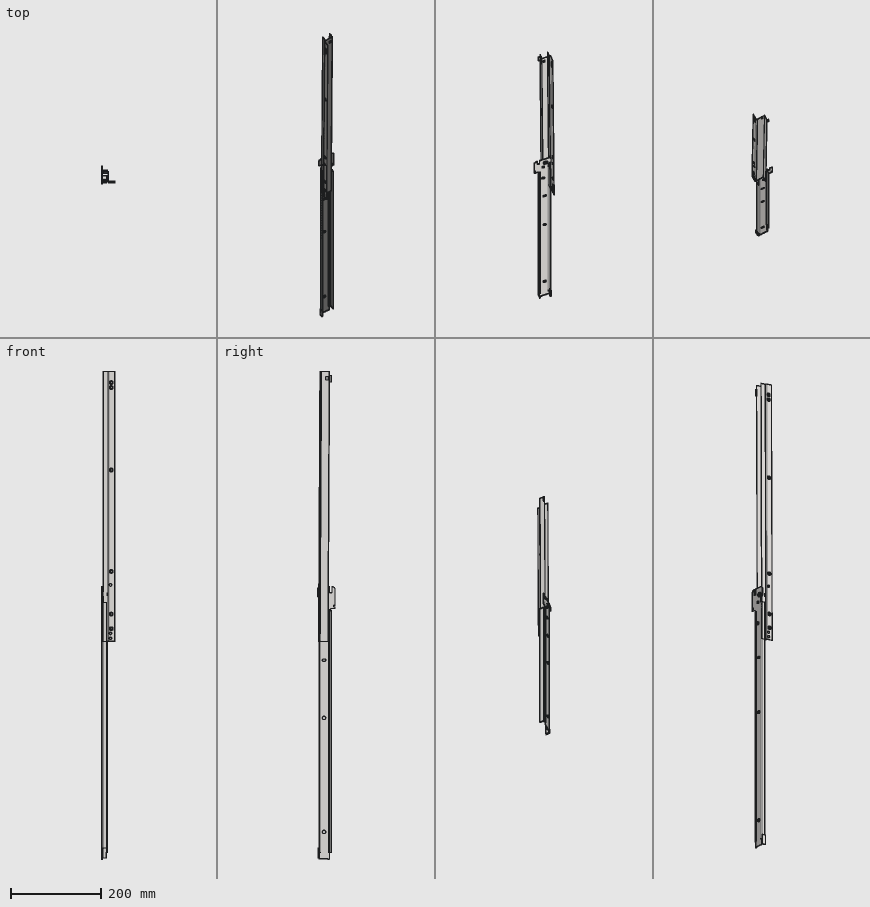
import cadquery as cq

size_x = 28.85
size_y = 39.5
size_z = 1083.32
left = -size_x / 2
right = size_x / 2
top = size_z / 2
bottom = -size_z / 2

cabinet_sheet = 1.0
cabinet_bend = 2.0
cabinet_bottom = -57.0
cabinet_length = top - cabinet_bottom
lean = 3.1
channel_left = -11.4
web_left = -0.4
channel_top = 7.5
channel_foot = -11.3
flange_face = -14.2
flange_hole_x = 6.6
flange_hole = 4.5
flange_sink = 8.5
flange_hole_heights = (517.0, 506.0, 323.0, 98.0, 3.3, -29.0)
small_hole_x = 5.0
small_hole = 5.0
small_hole_heights = (68.0, -39.5, -50.0)
stop_height = 4.0
stop_low = 518.0
stop_length = 15.0
stop_thickness = 2.0
window_y = 1.4
window_z = 526.5
window_width = 4.0
window_length = 7.0

sheet = 1.5
bend = 3.5
drawer_top = 64.5
head_right = -1.6
foot_right = -4.2
drawer_head = 11.5
drawer_foot = -16.0
foot_top = 29.0
jog_start = 5.0
jog_end = 7.5
jog_depth = 2.4
flange_bottom = -526.0
web_bottom = -540.0
tongue_y = 4.9
tongue_width = 3.0
hook_low = -538.0
hook_high = -516.0
hook_reach = 1.8
hook_left = -12.0
drawer_hole = 7.0
drawer_holes = ((-1.6, -18.0), (-4.9, -227.0), (-4.9, -480.0))
drawer_slot_y = -4.9
drawer_slot_z = -99.0
drawer_slot_length = 8.0
drawer_slot_width = 4.5

plate_shoulder = 60.0
plate_bottom = 15.5
plate_root = 11.0
lobe_low = 39.5
bracket_slot_y = 10.0
bracket_slot_width = 5.0
bracket_slot_low = 51.0
edge_notch_z = 21.0
edge_notch = 3.0
bracket_hole_y = -1.8
bracket_hole_z = 31.0
bracket_hole = 6.0

roller_radius = 5.6
roller_y = -7.0
roller_z = 47.5
roller_right = -3.0
roller_bore = 3.0
hub_radius = 5.2


def box(x0, x1, y0, y1, z0, z1):
    """Axis-aligned block between two opposite corners."""
    block = cq.Workplane("XY").box(x1 - x0, y1 - y0, z1 - z0, centered=False)
    return block.translate((x0, y0, z0))


def cylinder_x(diameter, y, z, x0, x1):
    """Cylinder along X."""
    return cq.Workplane("YZ", origin=(x0, y, z)).circle(diameter / 2).extrude(x1 - x0)


def lean_at(z):
    """Shift of the cabinet rail towards -Y at a given height."""
    return lean * (top - z) / cabinet_length


def cabinet_section(z):
    """Channel open to -X whose web runs on into a mounting flange towards +X."""
    web_right = web_left + cabinet_sheet
    flange_back = flange_face + cabinet_sheet
    bend_inside = cabinet_bend - cabinet_sheet
    bend_x = web_left + cabinet_bend
    bend_y = flange_face + cabinet_bend
    return (
        cq.Workplane("XY", origin=(0, -lean_at(z), z))
        .moveTo(channel_left, channel_top)
        .lineTo(web_right, channel_top)
        .lineTo(web_right, bend_y)
        .radiusArc((bend_x, flange_back), -bend_inside)
        .lineTo(right, flange_back)
        .lineTo(right, flange_face)
        .lineTo(bend_x, flange_face)
        .radiusArc((web_left, bend_y), cabinet_bend)
        .lineTo(web_left, channel_foot)
        .lineTo(channel_left, channel_foot)
        .lineTo(channel_left, channel_foot + cabinet_sheet)
        .lineTo(web_left, channel_foot + cabinet_sheet)
        .lineTo(web_left, channel_top - cabinet_sheet)
        .lineTo(channel_left, channel_top - cabinet_sheet)
        .close()
        .wire()
        .val()
    )


def flange_drill(diameter, x, z):
    """Cutter along Y that passes through the mounting flange."""
    face = flange_face - lean_at(z)
    drill = cq.Workplane("XZ", origin=(x, face - cabinet_sheet, z))
    return drill.circle(diameter / 2).extrude(-3 * cabinet_sheet)


def flange_countersink(z):
    """Cone that opens a mounting hole on the -Y side of the flange."""
    mouth = cq.Vector(flange_hole_x, flange_face - lean_at(z), z)
    inwards = cq.Vector(0, 1, 0)
    cone = cq.Solid.makeCone(flange_sink / 2, flange_hole / 2, cabinet_sheet, mouth, inwards)
    return cq.Workplane(cone)


def make_cabinet_rail():
    ends = [cabinet_section(cabinet_bottom), cabinet_section(top)]
    rail = cq.Workplane(cq.Solid.makeLoft(ends, True))

    stop = box(
        channel_left, channel_left + stop_thickness,
        channel_top - cabinet_sheet, channel_top + stop_height,
        stop_low, stop_low + stop_length,
    )
    window = box(
        web_left, web_left + cabinet_sheet,
        window_y - window_width / 2, window_y + window_width / 2,
        window_z - window_length / 2, window_z + window_length / 2,
    )
    rail = rail.union(stop).cut(window)

    for z in flange_hole_heights:
        rail = rail.cut(flange_drill(flange_hole, flange_hole_x, z))
        rail = rail.cut(flange_countersink(z))
    for z in small_hole_heights:
        rail = rail.cut(flange_drill(small_hole, small_hole_x, z))
    return rail


def make_drawer_section():
    """Web with a step, a wide +Y flange and a narrow -Y flange, both pointing to +X."""
    jog = left + jog_depth
    inside = bend - sheet
    section = (
        cq.Workplane("XY", origin=(0, 0, flange_bottom))
        .moveTo(left, jog_start)
        .lineTo(jog, jog_end)
        .lineTo(jog, drawer_head)
        .lineTo(head_right, drawer_head)
        .lineTo(head_right, drawer_head - sheet)
        .lineTo(jog + sheet, drawer_head - sheet)
        .lineTo(jog + sheet, jog_end)
        .lineTo(left + sheet, jog_start)
        .lineTo(left + sheet, drawer_foot + bend)
        .radiusArc((left + bend, drawer_foot + sheet), -inside)
        .lineTo(foot_right, drawer_foot + sheet)
        .lineTo(foot_right, drawer_foot)
        .lineTo(left + bend, drawer_foot)
        .radiusArc((left, drawer_foot + bend), bend)
        .close()
    )
    return section.extrude(drawer_top - flange_bottom)


def make_bracket_plate():
    """Flat plate that widens the web at the upper end of the rail."""
    half = size_y / 2
    corner = drawer_top - plate_shoulder
    lobe_corner = half + drawer_foot
    plate = (
        cq.Workplane("YZ", origin=(left, 0, 0))
        .moveTo(half, plate_bottom)
        .lineTo(half, plate_shoulder)
        .lineTo(half - corner, drawer_top)
        .lineTo(-half + corner, drawer_top)
        .lineTo(-half, plate_shoulder)
        .lineTo(-half, lobe_low + lobe_corner)
        .lineTo(drawer_foot, lobe_low)
        .lineTo(drawer_foot + bend, lobe_low)
        .lineTo(drawer_foot + bend, plate_root)
        .lineTo(jog_start, plate_root)
        .lineTo(drawer_head, plate_bottom)
        .close()
        .extrude(sheet)
    )
    slot = box(
        left, left + sheet,
        bracket_slot_y - bracket_slot_width / 2, bracket_slot_y + bracket_slot_width / 2,
        bracket_slot_low, drawer_top,
    )
    notch = box(
        left, left + sheet, half - edge_notch, half,
        edge_notch_z - edge_notch / 2, edge_notch_z + edge_notch / 2,
    )
    return plate.cut(slot).cut(notch)


def make_drawer_rail():
    head_clearance = box(left, right, 0, size_y / 2, plate_root, drawer_top)
    foot_clearance = box(left, right, -size_y / 2, 0, foot_top, drawer_top)
    rail = make_drawer_section().cut(head_clearance).cut(foot_clearance)
    rail = rail.union(make_bracket_plate())

    end = (
        cq.Workplane("YZ", origin=(left, 0, 0))
        .moveTo(jog_end, flange_bottom)
        .lineTo(jog_end, web_bottom)
        .lineTo(drawer_foot, web_bottom)
        .lineTo(drawer_foot, flange_bottom)
        .close()
        .extrude(sheet)
    )
    tongue = box(
        left, left + sheet, tongue_y - tongue_width / 2, tongue_y + tongue_width / 2,
        bottom, web_bottom,
    )
    hook = box(
        hook_left, foot_right, drawer_foot - hook_reach, drawer_foot + sheet,
        hook_low, hook_high,
    )
    rail = rail.union(end).union(tongue).union(hook)

    for y, z in drawer_holes:
        rail = rail.cut(cylinder_x(drawer_hole, y, z, left, left + sheet))
    rail = rail.cut(cylinder_x(bracket_hole, bracket_hole_y, bracket_hole_z, left, left + sheet))
    slot = cq.Workplane("YZ", origin=(left, drawer_slot_y, drawer_slot_z))
    rail = rail.cut(slot.slot2D(drawer_slot_length, drawer_slot_width).extrude(sheet))
    return rail.cut(cylinder_x(2 * hub_radius, roller_y, roller_z, left, left + sheet))


def make_roller():
    """Roller inside the channel, with a hub that fills the hole in the bracket plate."""
    wheel = cylinder_x(2 * roller_radius, roller_y, roller_z, left + sheet, roller_right)
    hub = cylinder_x(2 * hub_radius, roller_y, roller_z, left, left + sheet)
    bore = cylinder_x(roller_bore, roller_y, roller_z, left, roller_right)
    return wheel.union(hub).cut(bore)


cabinet_rail = make_cabinet_rail()
drawer_rail = make_drawer_rail()
roller = make_roller()

result = cq.Compound.makeCompound(
    [*cabinet_rail.solids().vals(), *drawer_rail.solids().vals(), *roller.solids().vals()]
)